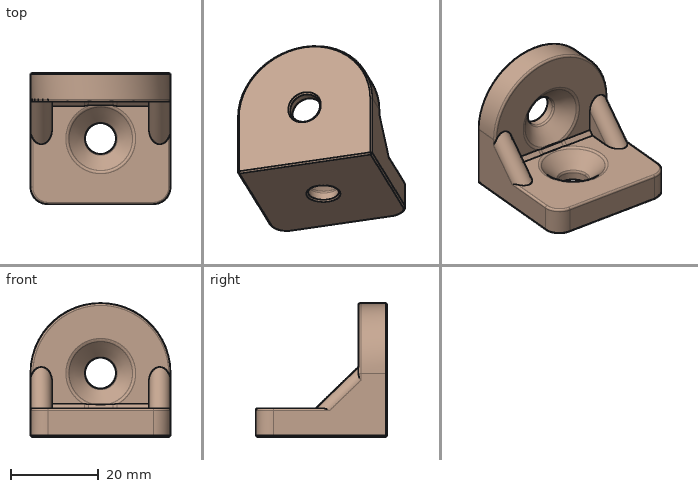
import cadquery as cq
import math

width = 32.0
depth = 30.0
plate = 6.6
corner_radius = 4.0
arch_radius = width / 2
upright_hole_height = 14.6
base_hole_setback = 15.0
hole_radius = 3.5
sink_radius = 7.55
mouth_round = 1.0
throat_round = 0.8
bevel_leg = 1.0
bevel_middle_leg = 0.85
bevel_middle_half = 2.85
bevel_blend_half = 3.65
bevel_root = 0.3
rib_width = 5.0
rib_offset = (width - rib_width) / 2
rib_reach_y = 9.7
rib_reach_z = 9.4
rib_root = 1.0
inner_edge_round = 0.5
outer_edge_chamfer = 0.4


def base_plate():
    """Flat plate with rounded front corners and a rounded upper rim."""
    plan = cq.Workplane("XY").center(0, -depth / 2).rect(width, depth)
    slab = plan.extrude(plate).edges("|Z and <Y").fillet(corner_radius)
    return slab.faces(">Z").edges().fillet(inner_edge_round)


def upright():
    """Arched plate along the back with a rounded front rim."""
    outline = (
        cq.Workplane("XZ")
        .moveTo(-width / 2, 0)
        .lineTo(-width / 2, upright_hole_height)
        .threePointArc((0, upright_hole_height + arch_radius), (width / 2, upright_hole_height))
        .lineTo(width / 2, 0)
        .close()
    )
    return outline.extrude(plate).faces("<Y").edges().fillet(inner_edge_round)


def rib(center_x):
    """Sloping web across the inside corner, with a fully rounded free edge."""
    rib_radius = rib_width / 2
    envelope = (
        cq.Workplane("YZ", origin=(center_x - rib_radius, 0, 0))
        .moveTo(-plate - rib_reach_y - rib_root * rib_reach_y / rib_reach_z, plate - rib_root)
        .lineTo(-plate + rib_root, plate + rib_reach_z + rib_root * rib_reach_z / rib_reach_y)
        .lineTo(-plate + rib_root, plate - rib_root)
        .close()
        .extrude(rib_width)
    )
    slope_length = math.hypot(rib_reach_y, rib_reach_z)
    slope = cq.Vector(0, rib_reach_y / slope_length, rib_reach_z / slope_length)
    inward = cq.Vector(0, slope.z, -slope.y)
    ridge_middle = cq.Vector(center_x, -plate - rib_reach_y / 2, plate + rib_reach_z / 2)
    section = cq.Plane(ridge_middle + inward * rib_radius, xDir=(1, 0, 0), normal=slope)
    side = 1 if section.yDir.dot(inward) > 0 else -1
    bar = (
        cq.Workplane(section)
        .moveTo(-rib_radius, side * slope_length)
        .lineTo(-rib_radius, 0)
        .threePointArc((0, -side * rib_radius), (rib_radius, 0))
        .lineTo(rib_radius, side * slope_length)
        .close()
        .extrude(slope_length, both=True)
    )
    return envelope.intersect(bar)


def corner_bevel():
    """45 degree strip along the inside corner, slightly hollowed in the middle."""
    stations = (
        (-rib_offset, bevel_leg),
        (-bevel_blend_half, bevel_leg),
        (-bevel_middle_half, bevel_middle_leg),
        (bevel_middle_half, bevel_middle_leg),
        (bevel_blend_half, bevel_leg),
        (rib_offset, bevel_leg),
    )
    sections = []
    for x, leg in stations:
        corners = (
            (x, -plate - leg, plate - bevel_root),
            (x, -plate - leg, plate),
            (x, -plate, plate + leg),
            (x, -plate + bevel_root, plate + leg),
            (x, -plate + bevel_root, plate - bevel_root),
        )
        vertices = [cq.Vector(*corner) for corner in corners]
        sections.append(cq.Wire.makePolygon(vertices, close=True))
    return cq.Workplane(cq.Solid.makeLoft(sections, True))


def countersunk_hole(body, mouth):
    """Cut a through hole with a rounded 90 degree countersink; mouth.zDir leaves the part."""
    sink_depth = sink_radius - hole_radius
    body = body.cut(cq.Workplane(mouth).circle(hole_radius).extrude(-plate))
    cone = cq.Solid.makeCone(
        sink_radius, hole_radius, sink_depth, pnt=mouth.origin, dir=mouth.zDir * -1
    )
    body = body.cut(cq.Workplane(cone))
    for level, rounding in ((0, mouth_round), (-sink_depth, throat_round)):
        center = mouth.toWorldCoords((0, 0, level))
        rim = body.edges("%CIRCLE").edges(cq.selectors.NearestToPointSelector(center.toTuple()))
        body = rim.fillet(rounding)
    return body


base_mouth = cq.Plane((0, -base_hole_setback, plate), xDir=(1, 0, 0), normal=(0, 0, 1))
upright_mouth = cq.Plane((0, -plate, upright_hole_height), xDir=(1, 0, 0), normal=(0, -1, 0))

bracket = base_plate().union(upright())
for mouth in (base_mouth, upright_mouth):
    bracket = countersunk_hole(bracket, mouth)
bracket = bracket.faces("<Z or >Y").edges().chamfer(outer_edge_chamfer)
bracket = bracket.union(corner_bevel())
for side in (-1, 1):
    bracket = bracket.union(rib(side * rib_offset))

result = bracket